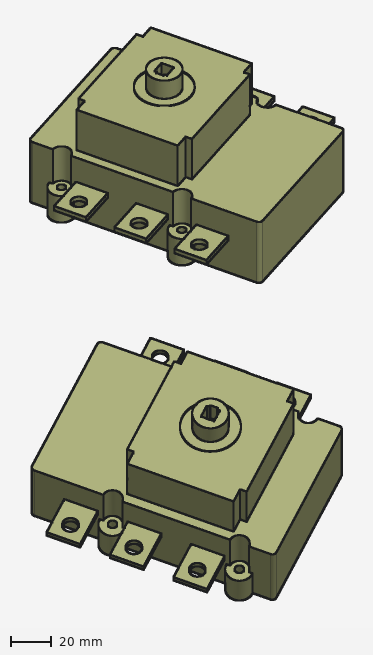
import cadquery as cq

BODY_LENGTH = 131.0
BODY_WIDTH = 84.4
BODY_HEIGHT = 38.5
BODY_CORNER_RADIUS = 2.2

POLE_COUNT = 3
POLE_PITCH = 34.0
MIDDLE_POLE_X = 4.3
TERMINAL_WIDTH = 18.0
TERMINAL_THICKNESS = 2.8
TERMINAL_BOTTOM_Z = 20.4
TERMINAL_SPAN = 128.0
TERMINAL_HOLE_DIAMETER = 8.2
TERMINAL_HOLE_SPACING = 110.4

BOSS_PITCH_X = 2 * POLE_PITCH
BOSS_CENTER_X = MIDDLE_POLE_X - POLE_PITCH / 2
BOSS_SPACING_Y = 85.0
BOSS_DIAMETER = 14.0
BOSS_HEIGHT = 16.8
BOSS_HOLE_DIAMETER = 4.6
GROOVE_DIAMETER = 10.2

COVER_CENTER_X = BOSS_CENTER_X
COVER_LENGTH = 64.0
COVER_WIDTH = 74.0
COVER_TOP_Z = 64.0
COVER_NOTCH_X = 3.5
COVER_NOTCH_Y = 8.0

SHAFT_DIAMETER = 18.0
SHAFT_TOP_Z = 75.0
RECESS_DIAMETER = 30.0
RECESS_DEPTH = 0.5
SOCKET_SIDE = 7.0
SOCKET_DEPTH = SHAFT_TOP_Z - COVER_TOP_Z
KEY_WIDTH = 4.0
KEY_DEPTH = 1.0


def box_at(x, y, bottom_z, length, width, height):
    """Box centred on (x, y) that rises from bottom_z."""
    return cq.Workplane("XY", origin=(x, y, bottom_z)).rect(length, width).extrude(height)


def cylinder_at(x, y, bottom_z, diameter, height):
    """Vertical cylinder on (x, y) that rises from bottom_z."""
    return cq.Workplane("XY", origin=(x, y, bottom_z)).circle(diameter / 2).extrude(height)


def make_body():
    body = box_at(0, 0, 0, BODY_LENGTH, BODY_WIDTH, BODY_HEIGHT)
    return body.edges("|Z").fillet(BODY_CORNER_RADIUS)


def add_mounting_bosses(part):
    for side_x in (-1, 1):
        for side_y in (-1, 1):
            x = BOSS_CENTER_X + side_x * BOSS_PITCH_X / 2
            y = side_y * BOSS_SPACING_Y / 2
            groove_height = BODY_HEIGHT - BOSS_HEIGHT
            part = part.union(cylinder_at(x, y, 0, BOSS_DIAMETER, BOSS_HEIGHT))
            part = part.cut(cylinder_at(x, y, BOSS_HEIGHT, GROOVE_DIAMETER, groove_height))
            part = part.cut(cylinder_at(x, y, 0, BOSS_HOLE_DIAMETER, BOSS_HEIGHT))
    return part


def add_terminals(part):
    length = (TERMINAL_SPAN - BODY_WIDTH) / 2
    for pole in range(POLE_COUNT):
        x = MIDDLE_POLE_X + (pole - (POLE_COUNT - 1) / 2) * POLE_PITCH
        for side_y in (-1, 1):
            y = side_y * (BODY_WIDTH + length) / 2
            hole_y = side_y * TERMINAL_HOLE_SPACING / 2
            terminal = box_at(x, y, TERMINAL_BOTTOM_Z, TERMINAL_WIDTH, length, TERMINAL_THICKNESS)
            hole = cylinder_at(x, hole_y, TERMINAL_BOTTOM_Z, TERMINAL_HOLE_DIAMETER, TERMINAL_THICKNESS)
            part = part.union(terminal.cut(hole))
    return part


def make_cover():
    height = COVER_TOP_Z - BODY_HEIGHT
    inner_length = COVER_LENGTH - 2 * COVER_NOTCH_X
    inner_width = COVER_WIDTH - 2 * COVER_NOTCH_Y
    wide_block = box_at(COVER_CENTER_X, 0, BODY_HEIGHT, COVER_LENGTH, inner_width, height)
    deep_block = box_at(COVER_CENTER_X, 0, BODY_HEIGHT, inner_length, COVER_WIDTH, height)
    recess_bottom = COVER_TOP_Z - RECESS_DEPTH
    recess = cylinder_at(COVER_CENTER_X, 0, recess_bottom, RECESS_DIAMETER, RECESS_DEPTH)
    return wide_block.union(deep_block).cut(recess)


def make_shaft():
    bottom_z = COVER_TOP_Z - RECESS_DEPTH
    socket_bottom = SHAFT_TOP_Z - SOCKET_DEPTH
    key_y = -(SOCKET_SIDE + KEY_DEPTH) / 2
    shaft = cylinder_at(COVER_CENTER_X, 0, bottom_z, SHAFT_DIAMETER, SHAFT_TOP_Z - bottom_z)
    socket = box_at(COVER_CENTER_X, 0, socket_bottom, SOCKET_SIDE, SOCKET_SIDE, SOCKET_DEPTH)
    keyway = box_at(COVER_CENTER_X, key_y, socket_bottom, KEY_WIDTH, KEY_DEPTH, SOCKET_DEPTH)
    return shaft.cut(socket).cut(keyway)


housing = add_terminals(add_mounting_bosses(make_body()))
result = housing.union(make_cover()).union(make_shaft())